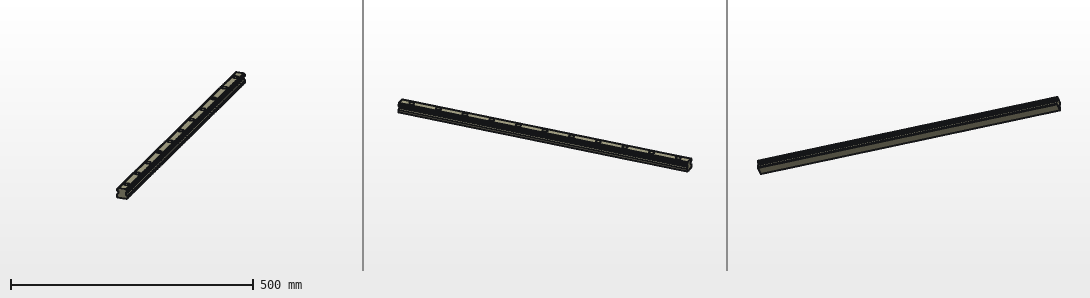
import cadquery as cq

rail_width = 23.0
rail_height = 22.0
rail_length = 650.0

head_mid_height = 17.5
land_height = 2.0
land_chamfer = 0.6
groove_outer_half_width = rail_width / 2 - land_chamfer
groove_inner_half_width = 9.0
groove_span = 7.6
groove_sagitta = 0.5
top_edge_inset = 0.6

waist_half_width = 8.2
waist_top = 13.3
waist_bottom = 9.8
foot_top = 6.8
foot_chamfer = 1.5

hole_pitch = 60.0
hole_count = 11
hole_diameter = 11.0
hole_depth = 0.2


def make_rail():
    """Extrude half of the waisted rail profile along Y and mirror it."""
    half_width = rail_width / 2
    land_bottom = head_mid_height - land_height / 2
    land_top = head_mid_height + land_height / 2
    lower_groove_end = head_mid_height - groove_span / 2
    upper_groove_end = head_mid_height + groove_span / 2
    half_rail = (
        cq.Workplane("XZ", origin=(0, 0, -rail_height / 2))
        .lineTo(half_width - foot_chamfer, 0)
        .lineTo(half_width, foot_chamfer)
        .lineTo(half_width, foot_top)
        .lineTo(waist_half_width, waist_bottom)
        .lineTo(waist_half_width, waist_top)
        .lineTo(groove_inner_half_width, lower_groove_end)
        .sagittaArc((groove_outer_half_width, land_bottom - land_chamfer), groove_sagitta)
        .lineTo(half_width, land_bottom)
        .lineTo(half_width, land_top)
        .lineTo(groove_outer_half_width, land_top + land_chamfer)
        .sagittaArc((groove_inner_half_width, upper_groove_end), groove_sagitta)
        .lineTo(groove_inner_half_width - top_edge_inset, rail_height)
        .lineTo(0, rail_height)
        .close()
        .extrude(rail_length / 2, both=True)
    )
    return half_rail.union(half_rail.mirror("YZ")).clean()


def sink_hole_mouths(rail):
    """Sink a row of shallow flat-bottomed hole mouths into the top face."""
    return (
        rail.faces(">Z")
        .workplane(origin=(0, 0, 0))
        .rarray(1, hole_pitch, 1, hole_count)
        .hole(hole_diameter, hole_depth)
    )


result = sink_hole_mouths(make_rail())